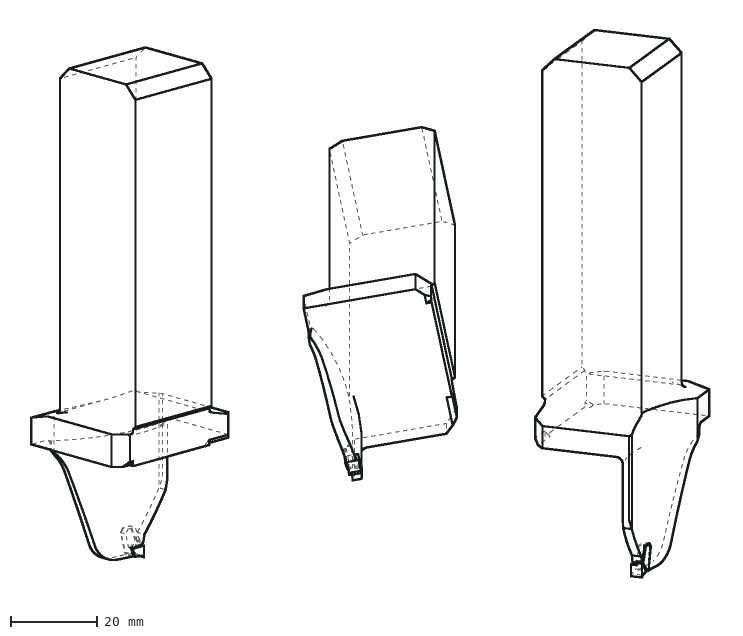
import cadquery as cq
import math

shank_size = 25.0
total_height = 123.6
shank_foot_z = 41.3
shank_top_chamfer = 3.1

head_left = shank_size - 30.3
head_right = 24.2
head_front = -4.1
head_length = 38.3
head_back = head_front + head_length
head_bottom = 31.6
head_top = 39.5
head_slope = math.tan(math.radians(15))
head_corner_chamfer = 3.1
head_bottom_chamfer = 1.2
foot_chamfer = shank_size - head_right
side_fillet = 1.2
front_fillet = 0.6
back_lip_chamfer = 0.7

blade_center_y = 24.7
concave_radius = 46.4
concave_apex_x = -0.1
convex_radius = 38.9
convex_apex_x = 2.2
blade_front = 2.2
blade_heel_z = 28.9
blade_tip_z = 0.7
blade_root_fillet = 1.5
blade_embed_z = head_bottom + 1.2
blade_heel_arc = ((4.1, 26.7), (5.6, 23.7))
blade_toe_arc = ((11.5, 5.2), (13.5, 2.1), (16.8, blade_tip_z))
blade_back_edge = ((25.2, 3.6), (25.6, 5.3), (33.5, 14.3), (head_back, 16.7))

insert_face_x = -0.5
insert_seat_x = 1.2
insert_tip_x = 2.7
insert_tip_height = 2.8
insert_edge_y = shank_size
insert_heel_y = 21.9
relief_depth = 0.4
relief_top_z = 3.3
relief_corner = (23.0, 1.4)
insert_nose = (insert_edge_y - 0.4, 0.5)
insert_root = ((20.4, 6.3), (21.1, 7.3), (23.5, 7.3), (25.1, 3.7))


def block(x_start, x_end, y_start, y_end, z_start, z_end):
    size = (x_end - x_start, y_end - y_start, z_end - z_start)
    return cq.Workplane("XY").box(*size, centered=False).translate((x_start, y_start, z_start))


def upright_cylinder(radius, apex_x):
    """Vertical cylinder whose +X extreme is at apex_x, reaching up to the shank foot."""
    axis_x = apex_x - radius
    return cq.Workplane("XY").center(axis_x, blade_center_y).circle(radius).extrude(shank_foot_z)


def make_shank():
    shank = block(0, shank_size, 0, shank_size, head_bottom, total_height)
    shank = shank.faces(">Z").edges("|Y").chamfer(shank_top_chamfer)
    neck_relief = (
        cq.Workplane("XZ")
        .moveTo(shank_size, shank_foot_z)
        .lineTo(head_right, shank_foot_z - foot_chamfer)
        .lineTo(head_right, head_bottom)
        .lineTo(shank_size, head_bottom)
        .close()
        .extrude(-shank_size)
    )
    return shank.cut(neck_relief)


def make_head():
    head = block(head_left, head_right, head_front, head_back, head_bottom, shank_foot_z)
    left_drop = -head_left * head_slope
    back_run = head_back - shank_size
    side_profile = (
        cq.Workplane("XZ", origin=(0, head_front, 0))
        .moveTo(head_left, head_bottom)
        .lineTo(head_left, head_top - left_drop)
        .lineTo(0, head_top)
        .lineTo(head_right, head_top)
        .lineTo(head_right, head_bottom + head_bottom_chamfer)
        .lineTo(head_right - head_bottom_chamfer, head_bottom)
        .close()
        .extrude(-head_length)
    )
    end_profile = (
        cq.Workplane("YZ", origin=(head_left, 0, 0))
        .moveTo(head_front, head_bottom)
        .lineTo(head_front, head_top)
        .lineTo(shank_size, head_top)
        .lineTo(head_back, head_top - back_run * head_slope)
        .lineTo(head_back, head_bottom)
        .close()
        .extrude(head_right - head_left)
    )
    head = head.edges("|Z and >X").chamfer(head_corner_chamfer)
    return head.intersect(side_profile).intersect(end_profile)


def make_blade():
    """Curved plate with a tapering outline, rounded at the heel and the toe."""
    plate = block(head_left, convex_apex_x, blade_front, head_back, 0, blade_embed_z)
    plate = plate.intersect(upright_cylinder(convex_radius, convex_apex_x))
    outline = (
        cq.Workplane("YZ", origin=(head_left, 0, 0))
        .moveTo(blade_front, blade_embed_z)
        .lineTo(blade_front, blade_heel_z)
        .threePointArc(*blade_heel_arc)
        .lineTo(*blade_toe_arc[0])
        .threePointArc(*blade_toe_arc[1:])
        .lineTo(insert_heel_y, blade_tip_z)
        .polyline(blade_back_edge, includeCurrent=True)
        .lineTo(head_back, blade_embed_z)
        .close()
        .extrude(convex_apex_x - head_left)
    )
    return plate.intersect(outline)


def make_insert():
    """Small cutting insert, deeper in X at its tip than at its clamped root."""
    outline = (
        cq.Workplane("YZ", origin=(insert_face_x, 0, 0))
        .moveTo(insert_edge_y, 0)
        .lineTo(*insert_nose)
        .lineTo(insert_heel_y, blade_tip_z)
        .polyline(insert_root, includeCurrent=True)
        .lineTo(insert_edge_y, relief_top_z)
        .close()
        .extrude(insert_tip_x - insert_face_x)
    )
    root_clearance = block(insert_seat_x, insert_tip_x, 0, head_back, insert_tip_height, head_bottom)
    face_relief = (
        cq.Workplane("YZ", origin=(insert_face_x, 0, 0))
        .moveTo(insert_edge_y, relief_top_z)
        .lineTo(*relief_corner)
        .lineTo(insert_heel_y, blade_tip_z)
        .lineTo(insert_edge_y, 0)
        .close()
        .extrude(relief_depth)
    )
    return outline.cut(root_clearance).cut(face_relief)


def edges_near(body, low, high):
    return body.edges(cq.selectors.BoxSelector(low, high))


def make_holder(insert):
    holder = make_shank().union(make_head())

    reach = 0.7
    shank_middle = shank_size / 2
    for corner_x, corner_y, radius in (
        (0, shank_middle, side_fillet),
        (shank_middle, shank_size, side_fillet),
        (shank_middle, 0, front_fillet),
    ):
        low = (corner_x - reach, corner_y - reach, head_top - reach)
        high = (corner_x + reach, corner_y + reach, head_top + reach)
        holder = edges_near(holder, low, high).fillet(radius)

    holder = holder.union(make_blade())
    low = (head_left - 1.2, blade_front - 1.2, head_bottom - reach)
    high = (convex_apex_x + reach, head_back - reach, head_bottom + reach)
    holder = edges_near(holder, low, high).fillet(blade_root_fillet)

    holder = holder.cut(upright_cylinder(concave_radius, concave_apex_x))
    bevel_x = concave_apex_x - concave_radius + math.sqrt(
        concave_radius**2 - (head_back - back_lip_chamfer - blade_center_y) ** 2
    )
    lip_bevel = (
        cq.Workplane("XY")
        .moveTo(bevel_x, head_back - back_lip_chamfer)
        .lineTo(bevel_x + back_lip_chamfer / 2, head_back)
        .lineTo(head_left, head_back)
        .lineTo(head_left, head_back - back_lip_chamfer)
        .close()
        .extrude(shank_foot_z)
    )
    return holder.cut(lip_bevel).cut(insert)


insert = make_insert()
holder = make_holder(insert)
result = cq.Compound.makeCompound([holder.val(), insert.val()])